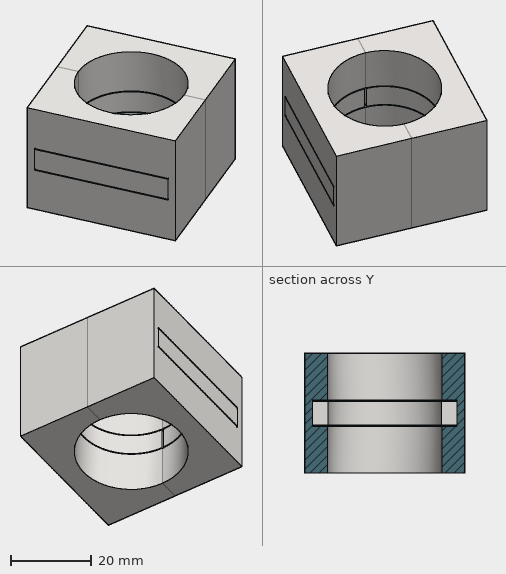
import cadquery as cq

block_side = 40.0
block_height = 30.0
bore_diameter = 28.5

slot_width = 36.0
slot_height = 6.5

insert_clearance = 0.25

half_depth = block_side / 2
insert_height = slot_height - 2 * insert_clearance
insert_depth = half_depth - insert_clearance

FRONT = -1
BACK = 1
SIDES = (FRONT, BACK)


def bar(side, width, depth, height):
    """Bar at mid height that reaches inward from the front or back face of the block."""
    middle_y = side * (half_depth - depth / 2)
    return cq.Workplane("XY").box(width, depth, height).translate((0, middle_y, block_height / 2))


def cut_bore(body):
    bore = cq.Workplane("XY").circle(bore_diameter / 2).extrude(block_height)
    return body.cut(bore)


def make_housing_half(side):
    half = bar(side, block_side, half_depth, block_height)
    slot = bar(side, slot_width, half_depth, slot_height)
    return cut_bore(half.cut(slot))


def make_housing():
    """Join the halves into one solid and keep the seam between their faces."""
    return make_housing_half(FRONT).union(make_housing_half(BACK), clean=False)


def make_insert(side):
    """Flat insert, flush with the outer face and following the bore on the inside."""
    return cut_bore(bar(side, slot_width, insert_depth, insert_height))


housing = make_housing()
inserts = [make_insert(side) for side in SIDES]

result = cq.Compound.makeCompound([housing.val(), *[insert.val() for insert in inserts]])